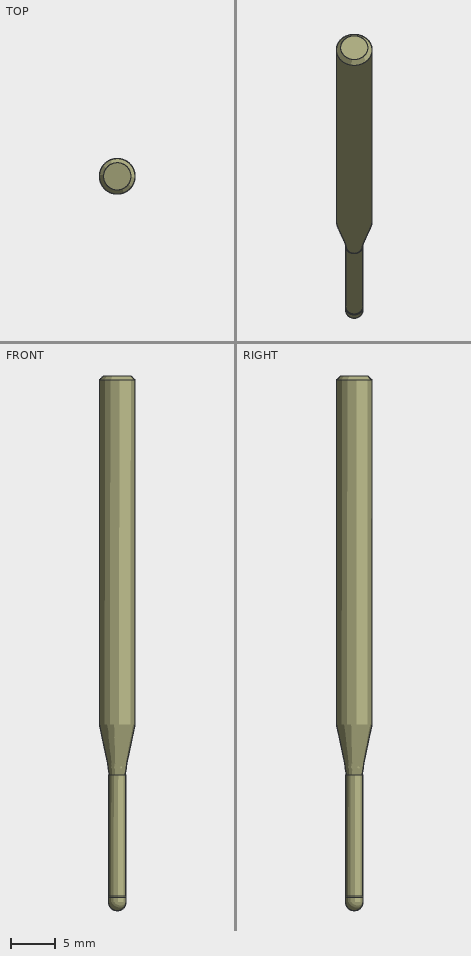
import cadquery as cq

total_length = 60.0
shank_diameter = 4.0
shank_radius = shank_diameter / 2
shank_chamfer = 0.5
shank_bottom = 20.9

tip_diameter = 2.0
ball_radius = tip_diameter / 2
tip_top = 1.5

neck_diameter = 1.9
neck_radius = neck_diameter / 2
neck_bottom = 1.7
neck_top = 15.25

flare_bottom_radius = 0.9
flare_top = 15.95
flare_top_radius = 1.0
taper_bottom = 16.5
taper_radius = 1.1


def revolve_about_z(profile):
    """Close a half profile in the XZ plane and turn it about the Z axis."""
    return profile.close().revolve(360, (0, 0), (0, 1))


def make_cutting_tip():
    """Hemisphere resting on the origin, continued by a short cylinder."""
    arc_offset = ball_radius * 0.5 ** 0.5
    profile = (
        cq.Workplane("XZ")
        .moveTo(0, 0)
        .threePointArc((arc_offset, ball_radius - arc_offset), (ball_radius, ball_radius))
        .lineTo(ball_radius, tip_top)
        .lineTo(0, tip_top)
    )
    return revolve_about_z(profile)


def make_shank():
    """Stepped neck, flare and taper below a cylindrical shank with a chamfered end."""
    profile = (
        cq.Workplane("XZ")
        .moveTo(0, tip_top)
        .lineTo(ball_radius, tip_top)
        .lineTo(ball_radius, neck_bottom)
        .lineTo(neck_radius, neck_bottom)
        .lineTo(neck_radius, neck_top)
        .lineTo(flare_bottom_radius, neck_top)
        .lineTo(flare_top_radius, flare_top)
        .lineTo(taper_radius, taper_bottom)
        .lineTo(shank_radius, shank_bottom)
        .lineTo(shank_radius, total_length - shank_chamfer)
        .lineTo(shank_radius - shank_chamfer, total_length)
        .lineTo(0, total_length)
    )
    return revolve_about_z(profile)


cutting_tip = make_cutting_tip()
shank = make_shank()

result = cq.Compound.makeCompound([cutting_tip.val(), shank.val()])